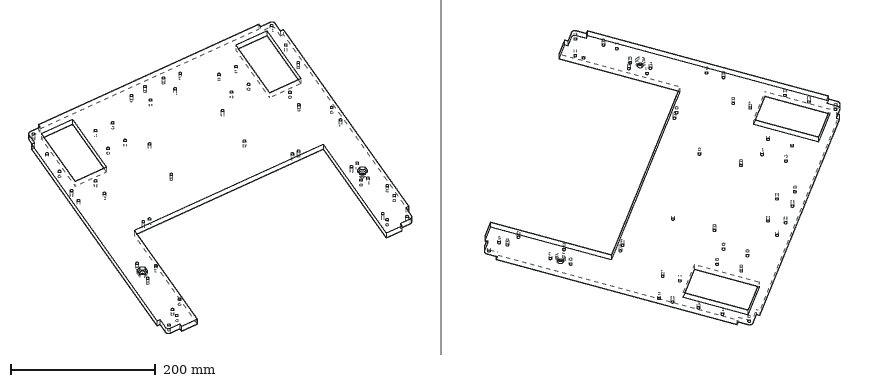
import cadquery as cq
import math

side = 400.0
thickness = 11.5
half = side / 2
leg_width = 50.0
bay_start_x = 24.0
bay_length = half - bay_start_x
bay_width = side - 2 * leg_width

relief_length = 25.0
relief_depth = 5.0
corner_radius = 5.0

window_length = 94.5
window_width = 49.5
window_center_x = -137.0
window_center_y = 154.5

hole_diameter = 4.0
corner_hole_offset = 189.0

bolt_x = 90.0
bolt_y = 175.0
bolt_bore = 8.0
nut_flats = 12.5
nut_depth = 6.0

screw_offset_x = 15.0
inner_screw_offset_x = 13.0
inner_screw_y = 165.0

edge_row_y = 191.5

bay_hole_x = 17.0
leg_tip_hole_x = (168.5, 180.5)

mirrored_holes = [
    (-corner_hole_offset, corner_hole_offset),
    (corner_hole_offset, corner_hole_offset),
    (bolt_x - screw_offset_x, bolt_y),
    (bolt_x + screw_offset_x, bolt_y),
    (-77.0, window_center_y),
    (-52.0, window_center_y),
    (-150.5, 189.5),
    (-115.5, 189.5),
    (-152.0, 111.5),
    (-117.0, 111.5),
    (-152.0, 84.5),
    (-117.0, 84.5),
    (-95.0, 58.0),
    (-35.0, 58.0),
    (-180.0, 39.0),
    (-160.5, 19.5),
    (-184.5, 15.0),
]

single_holes = [
    (-25.5, edge_row_y),
    (-1.0, edge_row_y),
    (129.5, edge_row_y),
    (149.0, edge_row_y),
    (-78.5, -edge_row_y),
    (-59.0, -edge_row_y),
    (bolt_x - inner_screw_offset_x, inner_screw_y),
    (bolt_x + inner_screw_offset_x, inner_screw_y),
    (91.5, -window_center_y),
    (158.0, -window_center_y),
    (bay_hole_x, 115.0),
    (bay_hole_x, 105.0),
    (bay_hole_x, -122.0),
    (bay_hole_x, -132.0),
]
single_holes += [(x, y) for x in leg_tip_hole_x for y in (162.5, -171.5)]


def both_sides(points):
    """The points together with their mirror images across the X axis."""
    return points + [(x, -y) for x, y in points]


def blocks(length, width, points):
    """Full-thickness rectangular blocks centred on the points."""
    return cq.Workplane("XY").pushPoints(points).rect(length, width).extrude(thickness)


def drills(diameter, points):
    """Full-thickness round cutters."""
    return cq.Workplane("XY").pushPoints(points).circle(diameter / 2).extrude(thickness)


def nut_pockets(points):
    """Hexagonal cutters sunk from the top face, with two corners along X."""
    across_corners = nut_flats / math.cos(math.pi / 6)
    sketch = cq.Workplane("XY", origin=(0, 0, thickness)).pushPoints(points)
    return sketch.polygon(6, across_corners).extrude(-nut_depth)


def plate_blank():
    """Solid plate with stepped, rounded corners."""
    core_side = side - 2 * relief_depth
    edge_length = side - 2 * relief_length
    core = blocks(core_side, core_side, [(0, 0)]).edges("|Z").fillet(corner_radius)
    return core.union(blocks(side, edge_length, [(0, 0)])).union(blocks(edge_length, side, [(0, 0)]))


windows = both_sides([(window_center_x, window_center_y)])
bolts = both_sides([(bolt_x, bolt_y)])
holes = both_sides(mirrored_holes) + single_holes

result = plate_blank()
result = result.cut(blocks(bay_length, bay_width, [(bay_start_x + bay_length / 2, 0)]))
result = result.cut(blocks(window_length, window_width, windows))
result = result.cut(drills(hole_diameter, holes))
result = result.cut(drills(bolt_bore, bolts))
result = result.cut(nut_pockets(bolts))